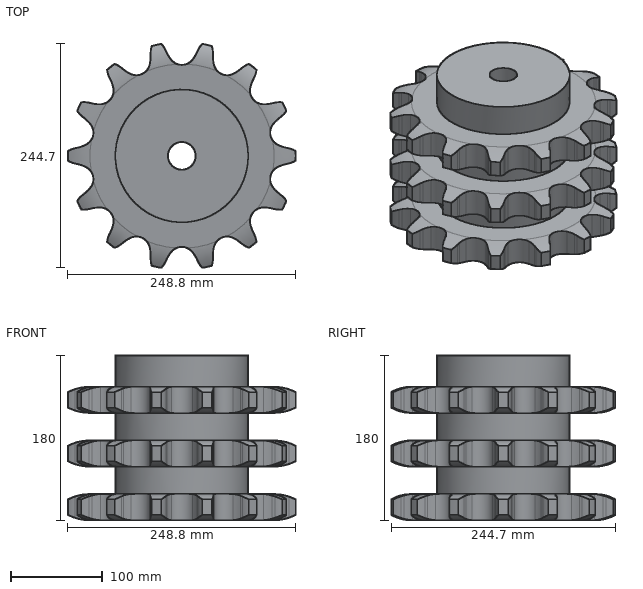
import cadquery as cq
import math


CHAIN_PITCH = 50.8
ROLLER_DIAMETER = 29.21
STRAND_SPACING = 58.55
STRAND_COUNT = 3

TOOTH_COUNT = 14
TIP_DIAMETER = 248.79
TOOTH_WIDTH = 28.8
SIDE_RELIEF_RADIUS = CHAIN_PITCH
FLAT_FACE_DIAMETER = 201.0
HUB_DIAMETER = 145.0
BORE_DIAMETER = 30.0
TOTAL_HEIGHT = 180.0

HALF_TOOTH_ANGLE = math.pi / TOOTH_COUNT
TOOTH_PITCH_DEGREES = 360.0 / TOOTH_COUNT
PITCH_RADIUS = CHAIN_PITCH / (2 * math.sin(HALF_TOOTH_ANGLE))

SEATING_CLEARANCE = 0.0762
SEATING_RADIUS = (1.005 * ROLLER_DIAMETER + SEATING_CLEARANCE) / 2
SEATING_ANGLE = math.radians(35 + 60 / TOOTH_COUNT)
WORKING_ANGLE = math.radians(18 - 56 / TOOTH_COUNT)
TOPPING_ANGLE = math.radians(17 - 64 / TOOTH_COUNT)
WORKING_CENTRE_DISTANCE = 0.8 * ROLLER_DIAMETER
TOPPING_CENTRE_DISTANCE = 1.4 * ROLLER_DIAMETER
WORKING_RADIUS = SEATING_RADIUS + WORKING_CENTRE_DISTANCE
FLANK_FLAT_LENGTH = (
    TOPPING_CENTRE_DISTANCE * math.sin(TOPPING_ANGLE)
    - WORKING_CENTRE_DISTANCE * math.sin(WORKING_ANGLE)
)
TOPPING_RADIUS = (
    WORKING_CENTRE_DISTANCE * math.cos(WORKING_ANGLE)
    + TOPPING_CENTRE_DISTANCE * math.cos(TOPPING_ANGLE)
    - WORKING_RADIUS
)


def polar(centre, radius, angle):
    """Point at a distance and angle from a centre."""
    return (centre[0] + radius * math.cos(angle), centre[1] + radius * math.sin(angle))


def mirrored(point):
    """Point reflected across the gap centreline (the X axis)."""
    return (point[0], -point[1])


def gap_outline():
    """Closed tooth gap centred on +X; its flanks meet the next gaps in a point beyond the tip circle."""
    roller_centre = (PITCH_RADIUS, 0)
    root = (PITCH_RADIUS - SEATING_RADIUS, 0)

    seating_end_angle = math.pi / 2 + SEATING_ANGLE
    working_end_angle = seating_end_angle - WORKING_ANGLE
    seating_end = polar(roller_centre, SEATING_RADIUS, seating_end_angle)
    working_centre = polar(roller_centre, -WORKING_CENTRE_DISTANCE, seating_end_angle)
    working_middle = polar(working_centre, WORKING_RADIUS, (seating_end_angle + working_end_angle) / 2)
    working_end = polar(working_centre, WORKING_RADIUS, working_end_angle)
    flat_end = polar(working_end, FLANK_FLAT_LENGTH, working_end_angle - math.pi / 2)

    topping_centre = polar(flat_end, TOPPING_RADIUS, working_end_angle)
    centre_angle = math.atan2(topping_centre[1], topping_centre[0]) - HALF_TOOTH_ANGLE
    distance_past_centreline = math.hypot(*topping_centre) * math.sin(centre_angle)
    topping_start_angle = working_end_angle - math.pi
    topping_end_angle = HALF_TOOTH_ANGLE - math.asin(distance_past_centreline / TOPPING_RADIUS)
    topping_middle_angle = (topping_start_angle + topping_end_angle) / 2
    topping_middle = polar(topping_centre, TOPPING_RADIUS, topping_middle_angle)
    tooth_point = polar(topping_centre, TOPPING_RADIUS, topping_end_angle)

    return (
        cq.Workplane("XY")
        .moveTo(*tooth_point)
        .threePointArc(topping_middle, flat_end)
        .lineTo(*working_end)
        .threePointArc(working_middle, seating_end)
        .threePointArc(root, mirrored(seating_end))
        .threePointArc(mirrored(working_middle), mirrored(working_end))
        .lineTo(*mirrored(flat_end))
        .threePointArc(mirrored(topping_middle), mirrored(tooth_point))
        .close()
    )


def disc_blank():
    """Toothless disc standing on Z = 0, its rim thinned on both sides by arcs tangent to the faces."""
    flat_radius = FLAT_FACE_DIAMETER / 2
    tip_radius = TIP_DIAMETER / 2
    relief_angle = math.asin((tip_radius - flat_radius) / SIDE_RELIEF_RADIUS)

    def relief_point(angle):
        drop = SIDE_RELIEF_RADIUS * (1 - math.cos(angle))
        return (flat_radius + SIDE_RELIEF_RADIUS * math.sin(angle), drop)

    def on_top(point):
        return (point[0], TOOTH_WIDTH - point[1])

    tip = relief_point(relief_angle)
    relief_middle = relief_point(relief_angle / 2)
    return (
        cq.Workplane("XZ")
        .lineTo(flat_radius, 0)
        .threePointArc(relief_middle, tip)
        .lineTo(*on_top(tip))
        .threePointArc(on_top(relief_middle), (flat_radius, TOOTH_WIDTH))
        .lineTo(0, TOOTH_WIDTH)
        .close()
        .revolve(360, (0, 0), (0, 1))
    )


def toothed_disc():
    """One strand of teeth."""
    disc = disc_blank()
    gap = gap_outline().extrude(TOOTH_WIDTH)
    for index in range(TOOTH_COUNT):
        gap_angle = (index + 0.5) * TOOTH_PITCH_DEGREES
        disc = disc.cut(gap.rotate((0, 0, 0), (0, 0, 1), gap_angle))
    return disc


def sprocket():
    """Toothed discs stacked on a common hub with a through bore."""
    body = cq.Workplane("XY").circle(HUB_DIAMETER / 2).extrude(TOTAL_HEIGHT)
    disc = toothed_disc()
    for strand in range(STRAND_COUNT):
        body = body.union(disc.translate((0, 0, strand * STRAND_SPACING)))
    bore = cq.Workplane("XY").circle(BORE_DIAMETER / 2).extrude(TOTAL_HEIGHT)
    return body.cut(bore)


result = sprocket()